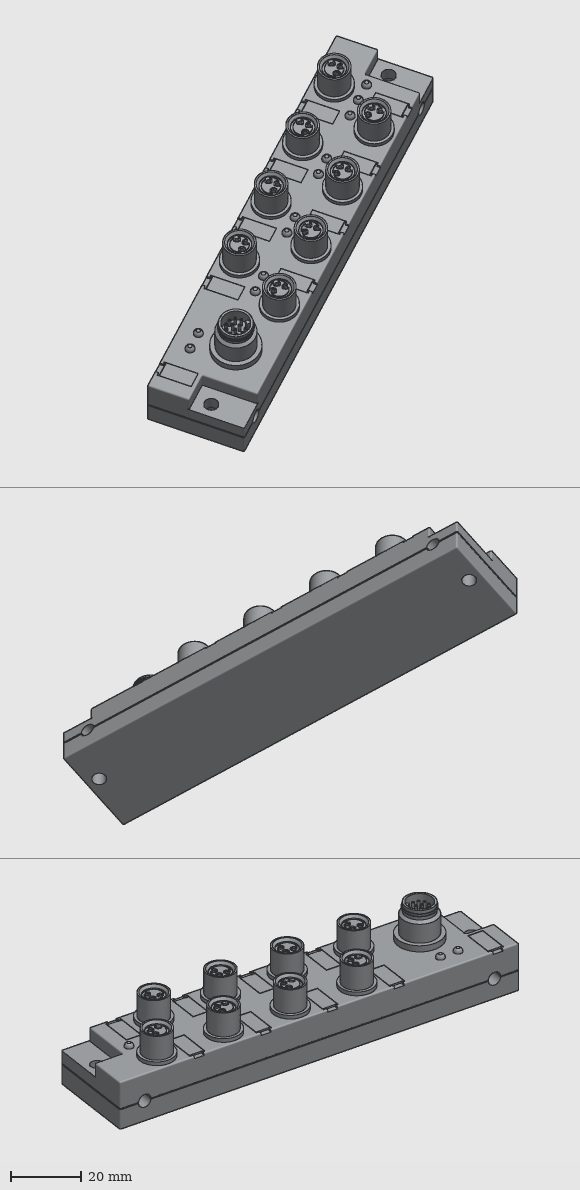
import cadquery as cq
import math

LENGTH = 136.4
WIDTH = 30.0
SEAM_Z = 7.1
LEDGE_Z = 11.3
DECK_Z = 15.8
EDGE_RADIUS = 0.5
SEAM_GROOVE_HEIGHT = 0.34
SEAM_GROOVE_DEPTH = 0.4

LEDGE_WALL_X = -2.0
LEDGE_WALL_Y = 58.7
INNER_CORNER_RADIUS = 0.4

HOLE_DIA = 4.2
DECK_HOLE_X = 3.0
DECK_HOLE_Y = 64.0
SIDE_HOLE_Y = 59.7
SIDE_HOLE_Z = 7.0

ROW_X = 8.3
ROW_COUNT = 4
ROW_PITCH = 22.8
LEFT_FIRST_Y = 51.2
RIGHT_FIRST_Y = 41.0

SOCKET_FLANGE_DIA = 11.5
SOCKET_FLANGE_TOP = 17.0
SOCKET_DIA = 9.5
SOCKET_TOP = 25.0
SOCKET_MOUTH_DIA = 8.5
SOCKET_BORE_DIA = 7.0
SOCKET_INSERT_DIA = 5.6
SOCKET_MOUTH_DEPTH = 0.8
SOCKET_GROOVE_DEPTH = 0.4
CONTACT_OFFSET = 1.4
CONTACT_DIA = 1.2
CONTACT_MOUTH_DIA = 2.0
CONTACT_MOUTH_DEPTH = 0.4
CONTACT_DEPTH = 2.7

PLUG_X = DECK_HOLE_X
PLUG_Y = -46.2
PLUG_FLANGE_DIA = 14.9
PLUG_FLANGE_TOP = 17.9
PLUG_DIA = 12.0
PLUG_SHOULDER_Z = 24.1
PLUG_NECK_DIA = 10.0
PLUG_NECK_Z = 25.0
PLUG_TOP = 28.1
PLUG_RIB_DIA = 10.5
PLUG_RIB_Z = 26.6
PLUG_RIB_HEIGHT = 0.8
PLUG_BORE_DIA = 8.5
PLUG_BORE_DEPTH = 4.1
PIN_DIA = 0.8
PIN_LENGTH = 2.7
PIN_TIP_BEVEL = 0.2
OUTER_PIN_RADIUS = 2.9
OUTER_PIN_SLOTS = 10
INNER_PIN_RADIUS = 1.1
INNER_PIN_COUNT = 3
KEY_ANGLE = 45.0
KEY_WIDTH = 1.2
KEY_INNER_RADIUS = 3.1

LAMP_DIA = 2.9
LAMP_FLAT_DIA = 1.2
LAMP_SPACING = 6.0
CENTRE_LAMP_FIRST_Y = 49.1
POWER_LAMP_X = -9.0
POWER_LAMP_Y = -45.3

LABEL_INNER_X = 3.4
LABEL_OUTER_X = 13.4
LABEL_HEIGHT = 5.0
LABEL_DEPTH = 0.1
PRY_SLOT_WIDTH = 0.5
PRY_NOTCH_HEIGHT = 3.3
PRY_DEPTH = 0.7
LAST_LABEL_Y = -61.0

LEFT_ROW = [LEFT_FIRST_Y - i * ROW_PITCH for i in range(ROW_COUNT)]
RIGHT_ROW = [RIGHT_FIRST_Y - i * ROW_PITCH for i in range(ROW_COUNT)]


def cylinder(x, y, z, dia, height):
    return cq.Workplane("XY", origin=(x, y, z)).circle(dia / 2).extrude(height)


def cone(x, y, z, bottom_dia, top_dia, height):
    solid = cq.Solid.makeCone(bottom_dia / 2, top_dia / 2, height, cq.Vector(x, y, z))
    return cq.Workplane(obj=solid)


def block(x0, x1, y0, y1, z0, z1):
    size = (x1 - x0, y1 - y0, z1 - z0)
    return cq.Workplane("XY").box(*size, centered=False).translate((x0, y0, z0))


def slab(z0, z1, inset=0.0):
    """Layer of the housing with rounded upright corners, pulled in by inset on all sides."""
    half_width = WIDTH / 2 - inset
    half_length = LENGTH / 2 - inset
    layer = block(-half_width, half_width, -half_length, half_length, z0, z1)
    return layer.edges("|Z").fillet(EDGE_RADIUS)


def mounting_holes():
    holes = cq.Workplane("XY")
    for side in (-1, 1):
        holes = holes.add(cylinder(DECK_HOLE_X, side * DECK_HOLE_Y, 0, HOLE_DIA, DECK_Z))
        side_hole = (
            cq.Workplane("YZ", origin=(-WIDTH / 2, side * SIDE_HOLE_Y, SIDE_HOLE_Z))
            .circle(HOLE_DIA / 2)
            .extrude(WIDTH)
        )
        holes = holes.add(side_hole)
    return holes.combine()


def deck():
    """Raised part of the upper shell, stepped back at both ends for the ledges."""
    half_width = WIDTH / 2
    half_length = LENGTH / 2
    raised = (
        cq.Workplane("XY", origin=(0, 0, LEDGE_Z))
        .moveTo(-half_width, -half_length)
        .lineTo(LEDGE_WALL_X, -half_length)
        .lineTo(LEDGE_WALL_X, -LEDGE_WALL_Y)
        .lineTo(half_width, -LEDGE_WALL_Y)
        .lineTo(half_width, LEDGE_WALL_Y)
        .lineTo(LEDGE_WALL_X, LEDGE_WALL_Y)
        .lineTo(LEDGE_WALL_X, half_length)
        .lineTo(-half_width, half_length)
        .close()
        .extrude(DECK_Z - LEDGE_Z)
    )
    raised = raised.edges("|Z and (<X or >X or <Y or >Y)").fillet(EDGE_RADIUS)
    for side in (-1, 1):
        corner = cq.selectors.NearestToPointSelector((LEDGE_WALL_X, side * LEDGE_WALL_Y, (LEDGE_Z + DECK_Z) / 2))
        raised = raised.edges("|Z").edges(corner).fillet(INNER_CORNER_RADIUS)
    return raised.faces(">Z").edges().fillet(EDGE_RADIUS)


def socket(x, y, mirror):
    """Three-contact socket; mirror flips the contact pattern in X."""
    face_z = SOCKET_TOP - SOCKET_MOUTH_DEPTH
    body = cylinder(x, y, DECK_Z, SOCKET_FLANGE_DIA, SOCKET_FLANGE_TOP - DECK_Z)
    body = body.union(cylinder(x, y, DECK_Z, SOCKET_DIA, SOCKET_TOP - DECK_Z))
    body = body.cut(cone(x, y, face_z, SOCKET_BORE_DIA, SOCKET_MOUTH_DIA, SOCKET_MOUTH_DEPTH))
    groove = (
        cq.Workplane("XY", origin=(x, y, face_z - SOCKET_GROOVE_DEPTH))
        .circle(SOCKET_BORE_DIA / 2)
        .circle(SOCKET_INSERT_DIA / 2)
        .extrude(SOCKET_GROOVE_DEPTH)
    )
    body = body.cut(groove)
    for column, row in ((-1, 1), (1, 1), (1, -1)):
        cx = x + mirror * column * CONTACT_OFFSET
        cy = y + row * CONTACT_OFFSET
        mouth_z = face_z - CONTACT_MOUTH_DEPTH
        body = body.cut(cylinder(cx, cy, face_z - CONTACT_DEPTH, CONTACT_DIA, CONTACT_DEPTH))
        body = body.cut(cylinder(cx, cy, mouth_z, CONTACT_MOUTH_DIA, CONTACT_MOUTH_DEPTH))
    return body


def plug():
    rib_low = PLUG_RIB_Z - PLUG_RIB_HEIGHT / 2
    rib_high = PLUG_RIB_Z + PLUG_RIB_HEIGHT / 2
    floor_z = PLUG_TOP - PLUG_BORE_DEPTH
    profile = [
        (0, DECK_Z),
        (PLUG_FLANGE_DIA / 2, DECK_Z),
        (PLUG_FLANGE_DIA / 2, PLUG_FLANGE_TOP),
        (PLUG_DIA / 2, PLUG_FLANGE_TOP),
        (PLUG_DIA / 2, PLUG_SHOULDER_Z),
        (PLUG_NECK_DIA / 2, PLUG_NECK_Z),
        (PLUG_NECK_DIA / 2, rib_low),
        (PLUG_RIB_DIA / 2, rib_low),
        (PLUG_RIB_DIA / 2, rib_high),
        (PLUG_NECK_DIA / 2, rib_high),
        (PLUG_NECK_DIA / 2, PLUG_TOP),
        (PLUG_BORE_DIA / 2, PLUG_TOP),
        (PLUG_BORE_DIA / 2, floor_z),
        (0, floor_z),
    ]
    body = cq.Workplane("XZ").polyline(profile).close().revolve(360, (0, 0, 0), (0, 1, 0))

    root_radius = (PLUG_BORE_DIA + PLUG_NECK_DIA) / 4
    half_key = KEY_WIDTH / 2
    key = block(KEY_INNER_RADIUS, root_radius, -half_key, half_key, floor_z, floor_z + PIN_LENGTH)
    body = body.union(key.rotate((0, 0, 0), (0, 0, 1), KEY_ANGLE))

    outer = [(OUTER_PIN_RADIUS, KEY_ANGLE + 360 * i / OUTER_PIN_SLOTS) for i in range(1, OUTER_PIN_SLOTS)]
    inner = [(INNER_PIN_RADIUS, KEY_ANGLE + 360 * i / INNER_PIN_COUNT) for i in range(INNER_PIN_COUNT)]
    for radius, angle in outer + inner:
        px = radius * math.cos(math.radians(angle))
        py = radius * math.sin(math.radians(angle))
        pin = cylinder(px, py, floor_z, PIN_DIA, PIN_LENGTH).faces(">Z").chamfer(PIN_TIP_BEVEL)
        body = body.union(pin)
    return body.translate((PLUG_X, PLUG_Y, 0))


def lamp(x, y):
    """Half-ball lamp with a small flat on top."""
    ball = cq.Workplane("XY", origin=(x, y, DECK_Z)).sphere(LAMP_DIA / 2)
    height = math.sqrt(LAMP_DIA ** 2 - LAMP_FLAT_DIA ** 2) / 2
    return ball.intersect(cylinder(x, y, DECK_Z, LAMP_DIA, height))


def lamp_places():
    places = [(0, CENTRE_LAMP_FIRST_Y + LAMP_SPACING)]
    for i in range(ROW_COUNT):
        upper_y = CENTRE_LAMP_FIRST_Y - i * ROW_PITCH
        places += [(0, upper_y), (0, upper_y - LAMP_SPACING)]
    places += [(POWER_LAMP_X, POWER_LAMP_Y), (POWER_LAMP_X, POWER_LAMP_Y - LAMP_SPACING)]
    return places


def label_recess(y, side):
    """Shallow label field, its pry slot and the notch out to the side (+1 right, -1 left)."""
    half_label = LABEL_HEIGHT / 2
    half_notch = PRY_NOTCH_HEIGHT / 2
    slot_end = LABEL_OUTER_X + PRY_SLOT_WIDTH
    field = block(LABEL_INNER_X, LABEL_OUTER_X, y - half_label, y + half_label, DECK_Z - LABEL_DEPTH, DECK_Z)
    slot = block(LABEL_OUTER_X, slot_end, y - half_label, y + half_label, DECK_Z - PRY_DEPTH, DECK_Z)
    notch = block(LABEL_OUTER_X, WIDTH / 2, y - half_notch, y + half_notch, DECK_Z - PRY_DEPTH, DECK_Z)
    recess = field.union(slot).union(notch)
    return recess if side > 0 else recess.mirror("YZ")


def make_lower_shell():
    shell = slab(0, SEAM_Z)
    shell = shell.faces("<Z").edges().fillet(EDGE_RADIUS)
    groove_z = SEAM_Z - SEAM_GROOVE_HEIGHT
    groove = block(-WIDTH / 2, WIDTH / 2, -LENGTH / 2, LENGTH / 2, groove_z, SEAM_Z)
    groove = groove.cut(slab(groove_z, SEAM_Z, SEAM_GROOVE_DEPTH))
    shell = shell.cut(groove)
    return shell.cut(mounting_holes())


def make_upper_shell():
    shell = slab(SEAM_Z, LEDGE_Z).union(deck())
    for y in LEFT_ROW:
        shell = shell.cut(label_recess(y, 1))
    for y in RIGHT_ROW + [LAST_LABEL_Y]:
        shell = shell.cut(label_recess(y, -1))
    shell = shell.cut(mounting_holes())
    for y in LEFT_ROW:
        shell = shell.union(socket(-ROW_X, y, 1))
    for y in RIGHT_ROW:
        shell = shell.union(socket(ROW_X, y, -1))
    for x, y in lamp_places():
        shell = shell.union(lamp(x, y))
    return shell.union(plug())


lower_shell = make_lower_shell()
upper_shell = make_upper_shell()

result = cq.Compound.makeCompound([lower_shell.val(), upper_shell.val()])